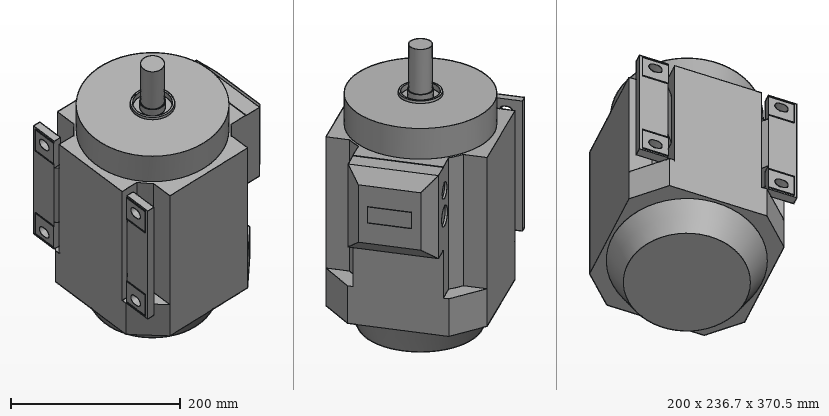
import cadquery as cq
import math


OVERLAP = 2.0

total_height = 370.5
total_depth = 236.7
cover_height = 40.0
notch_bottom = 90.0
body_top = 264.5
end_bell_top = 305.3
seal_top = 308.3
shoulder_top = 311.0

body_half = 98.5
corner_chamfer = 36.5
rib_half_width = 55.2
side_half_width = body_half - corner_chamfer
core_radius = 93.0
core_side_x = math.sqrt(core_radius**2 - side_half_width**2)
core_rib_y = math.sqrt(core_radius**2 - rib_half_width**2)
core_mid = core_radius * math.sqrt(0.5)

cover_top_radius = 95.0
cover_bottom_radius = 75.0
end_bell_radius = 90.0
seal_radius = 26.5
seal_top_radius = 26.0
seal_inner_radius = 23.5
seal_recess_depth = 7.5
shoulder_radius = 15.2
shaft_radius = 14.0

base_y = -99.5
pad_thickness = 1.0
foot_thickness = 10.0
foot_outer_x = 100.0
foot_inner_x = 63.7
foot_end_gap = 0.7
foot_bottom = notch_bottom + foot_end_gap
foot_top = body_top - foot_end_gap
foot_mid_z = (foot_bottom + foot_top) / 2
foot_face_y = base_y + pad_thickness
foot_back_y = foot_face_y + foot_thickness
pad_width = 32.5
pad_height = 34.0
pad_end_margin = 2.5
bolt_x = 80.0
bolt_spacing = 140.0
slot_length = 16.5
slot_width = 13.5
leg_height = 87.0
leg_outer_x = 82.0
leg_inner_y = -88.0

box_size = 2 * rib_half_width
box_top = 263.8
box_mid_z = box_top - box_size / 2
box_rim_y = 120.0
box_lid_y = 136.5
box_inset = 17.0
badge_width = 54.0
badge_height = 21.5
badge_y = base_y + total_depth
entry_y = 93.0
entry_depth = 3.0
entries = [(230.5, 10.5), (196.5, 13.0)]


def cylinder(radius, bottom, top):
    return cq.Workplane("XY").workplane(offset=bottom).circle(radius).extrude(top - bottom)


def cone(bottom_radius, top_radius, bottom, top):
    return (
        cq.Workplane("XY")
        .workplane(offset=bottom)
        .circle(bottom_radius)
        .workplane(offset=top - bottom)
        .circle(top_radius)
        .loft(ruled=True)
    )


def block(x_range, y_range, z_range):
    """Box spanning the given (low, high) ranges."""
    sizes = [high - low for low, high in (x_range, y_range, z_range)]
    corner = (x_range[0], y_range[0], z_range[0])
    return cq.Workplane("XY").box(*sizes, centered=False).translate(corner)


def mirrored_pair(solid):
    return solid.union(solid.mirror("YZ"))


def make_body():
    """Octagonal block whose four corners are cut away above the fan end, down to a round core."""
    body = (
        cq.Workplane("XY")
        .workplane(offset=cover_height)
        .rect(2 * body_half, 2 * body_half)
        .extrude(body_top - cover_height)
        .edges("|Z")
        .chamfer(corner_chamfer)
    )
    notch = (
        cq.Workplane("XY")
        .workplane(offset=notch_bottom)
        .moveTo(body_half, side_half_width)
        .lineTo(core_side_x, side_half_width)
        .threePointArc((core_mid, core_mid), (rib_half_width, core_rib_y))
        .lineTo(rib_half_width, body_half)
        .lineTo(body_half, body_half)
        .close()
        .extrude(body_top - notch_bottom)
    )
    notches = mirrored_pair(notch)
    return body.cut(notches).cut(notches.mirror("XZ"))


def make_shaft_end():
    """End bell, tapered seal ring around a recess and shaft with its shoulder."""
    recess_floor = seal_top - seal_recess_depth
    end_bell = cylinder(end_bell_radius, body_top, end_bell_top)
    seal = cone(seal_radius, seal_top_radius, end_bell_top, seal_top)
    recess = cylinder(seal_inner_radius, recess_floor, seal_top)
    shoulder = cylinder(shoulder_radius, recess_floor, shoulder_top)
    shaft = cylinder(shaft_radius, recess_floor, total_height)
    return end_bell.union(seal).cut(recess).union(shoulder).union(shaft)


def make_foot():
    """Foot bar on the +X side, with its leg, bolt pads and slots."""
    foot = block((foot_inner_x, foot_outer_x), (foot_face_y, foot_back_y), (foot_bottom, foot_top))
    leg = (
        cq.Workplane("XY")
        .workplane(offset=foot_mid_z - leg_height / 2)
        .moveTo(foot_inner_x, foot_face_y)
        .lineTo(rib_half_width, leg_inner_y)
        .lineTo(rib_half_width, -core_rib_y)
        .threePointArc((core_mid, -core_mid), (core_side_x, -side_half_width))
        .lineTo(leg_outer_x, foot_back_y)
        .lineTo(leg_outer_x, foot_face_y)
        .close()
        .extrude(leg_height)
    )
    foot = foot.union(leg)

    pad_x = (foot_inner_x, foot_inner_x + pad_width)
    low_pad = foot_bottom + pad_end_margin
    high_pad = foot_top - pad_end_margin - pad_height
    for pad_bottom in (low_pad, high_pad):
        pad_z = (pad_bottom, pad_bottom + pad_height)
        foot = foot.union(block(pad_x, (base_y, foot_face_y), pad_z))

    slots = (
        cq.Workplane("XZ", origin=(bolt_x, base_y, foot_mid_z))
        .pushPoints([(0, -bolt_spacing / 2), (0, bolt_spacing / 2)])
        .slot2D(slot_length, slot_width)
        .extrude(-(pad_thickness + foot_thickness))
    )
    return foot.cut(slots)


def make_terminal_box():
    """Square box with a tapered lid and a raised badge."""
    lid_size = box_size - 2 * box_inset
    case = block(
        (-rib_half_width, rib_half_width),
        (body_half - OVERLAP, box_rim_y),
        (box_top - box_size, box_top),
    )
    lid = (
        cq.Workplane("XZ", origin=(0, box_rim_y, box_mid_z))
        .rect(box_size, box_size)
        .workplane(offset=box_rim_y - box_lid_y)
        .rect(lid_size, lid_size)
        .loft(ruled=True)
    )
    badge = block(
        (-badge_width / 2, badge_width / 2),
        (box_lid_y, badge_y),
        (box_mid_z - badge_height / 2, box_mid_z + badge_height / 2),
    )
    return case.union(lid).union(badge)


def make_cable_entries():
    """Shallow round recesses for the cable entries, on the -X side of the box."""
    face = cq.Workplane("YZ", origin=(-rib_half_width, entry_y, 0))
    for height, radius in entries:
        face = face.moveTo(0, height).circle(radius)
    return face.extrude(entry_depth)


fan_cover = cone(cover_bottom_radius, cover_top_radius, 0, cover_height)

result = (
    make_body()
    .union(fan_cover)
    .union(make_shaft_end())
    .union(mirrored_pair(make_foot()))
    .union(make_terminal_box())
    .cut(make_cable_entries())
)